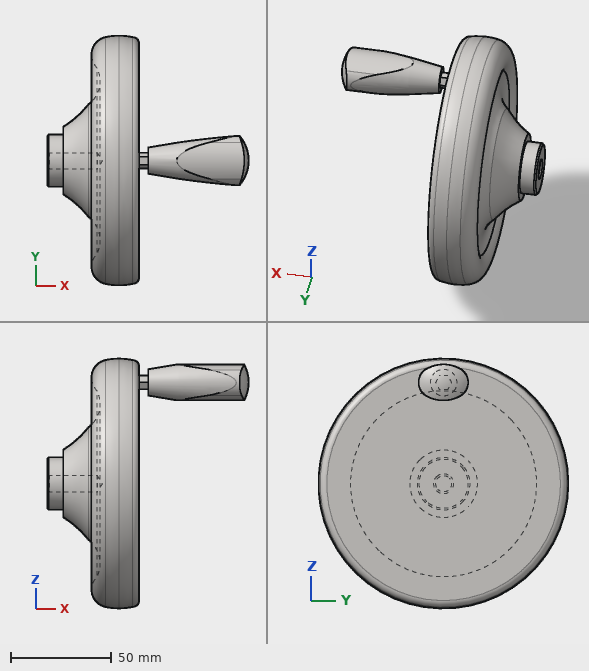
import cadquery as cq
import math

wheel_radius = 62.5
hub_radius = 13.1
hub_length = 8.0
hub_chamfer = 0.9
shoulder_radius = 16.9
flare_end_x = 20.6
flare_end_radius = 28.1
flare_mid_x = 14.9
flare_mid_radius = 22.0
web_end_x = 24.7
web_end_radius = 46.5
web_deep_x = 26.0
web_deep_radius = 36.7
rim_front_x = 22.1
rim_front_radius = 53.7
crown_x = 35.9
crown_half_width = 6.7
crown_drop = 0.7
wheel_back_x = 46.0
back_edge_radius = 58.4
back_round_mid_x = 45.1
back_round_mid_radius = 60.6

bore_radius = 4.0
bore_chamfer = 1.0
bore_depth = 25.0
drill_point_angle = 118.0

handle_z = 50.5
stem_across_flats = 7.0
grip_start_x = 50.5
grip_start_radius = 6.6
grip_mid_x = 73.7
grip_mid_radius = 10.2
grip_end_radius = 12.5
grip_half_width = 12.4
grip_half_height = 9.0
broad_face_half_width = 9.1
broad_face_edge_height = 6.4
handle_end_x = 100.7
end_dome_radius = 18.7


def make_wheel():
    crown_quarter_radius = wheel_radius - crown_drop / 4
    crown_edge_radius = wheel_radius - crown_drop
    profile = (
        cq.Workplane("XY")
        .moveTo(0, 0)
        .lineTo(0, hub_radius - hub_chamfer)
        .lineTo(hub_chamfer, hub_radius)
        .lineTo(hub_length, hub_radius)
        .lineTo(hub_length, shoulder_radius)
        .threePointArc((flare_mid_x, flare_mid_radius), (flare_end_x, flare_end_radius))
        .threePointArc((web_deep_x, web_deep_radius), (web_end_x, web_end_radius))
        .threePointArc((rim_front_x, rim_front_radius), (crown_x - crown_half_width, crown_edge_radius))
        .threePointArc((crown_x - crown_half_width / 2, crown_quarter_radius), (crown_x, wheel_radius))
        .threePointArc(
            (crown_x + crown_half_width / 2, crown_quarter_radius),
            (crown_x + crown_half_width, crown_edge_radius),
        )
        .threePointArc((back_round_mid_x, back_round_mid_radius), (wheel_back_x, back_edge_radius))
        .lineTo(wheel_back_x, 0)
        .close()
    )
    wheel = profile.revolve(360, (0, 0, 0), (1, 0, 0))
    return wheel.cut(make_bore())


def make_bore():
    point_length = bore_radius / math.tan(math.radians(drill_point_angle / 2))
    return (
        cq.Workplane("XY")
        .moveTo(0, 0)
        .lineTo(0, bore_radius + bore_chamfer)
        .lineTo(bore_chamfer, bore_radius)
        .lineTo(bore_depth, bore_radius)
        .lineTo(bore_depth + point_length, 0)
        .close()
        .revolve(360, (0, 0, 0), (1, 0, 0))
    )


def make_grip():
    dome_sagitta = end_dome_radius - math.sqrt(end_dome_radius**2 - grip_end_radius**2)
    blank = (
        cq.Workplane("XY")
        .moveTo(grip_start_x, 0)
        .lineTo(grip_start_x, grip_start_radius)
        .threePointArc((grip_mid_x, grip_mid_radius), (handle_end_x - dome_sagitta, grip_end_radius))
        .radiusArc((handle_end_x, 0), end_dome_radius)
        .close()
        .revolve(360, (0, 0, 0), (1, 0, 0))
    )
    y, z = broad_face_half_width, broad_face_edge_height
    oval = (
        cq.Workplane("YZ", origin=(grip_start_x, 0, 0))
        .moveTo(-y, z)
        .threePointArc((0, grip_half_height), (y, z))
        .threePointArc((grip_half_width, 0), (y, -z))
        .threePointArc((0, -grip_half_height), (-y, -z))
        .threePointArc((-grip_half_width, 0), (-y, z))
        .close()
        .extrude(handle_end_x - grip_start_x)
    )
    return blank.intersect(oval)


def make_handle():
    across_corners = stem_across_flats / math.cos(math.pi / 6)
    stem = (
        cq.Workplane("YZ", origin=(wheel_back_x, 0, 0))
        .polygon(6, across_corners)
        .extrude(grip_start_x - wheel_back_x)
    )
    return make_grip().union(stem).translate((0, 0, handle_z))


wheel = make_wheel()
handle = make_handle()
result = cq.Compound.makeCompound([wheel.val(), handle.val()])